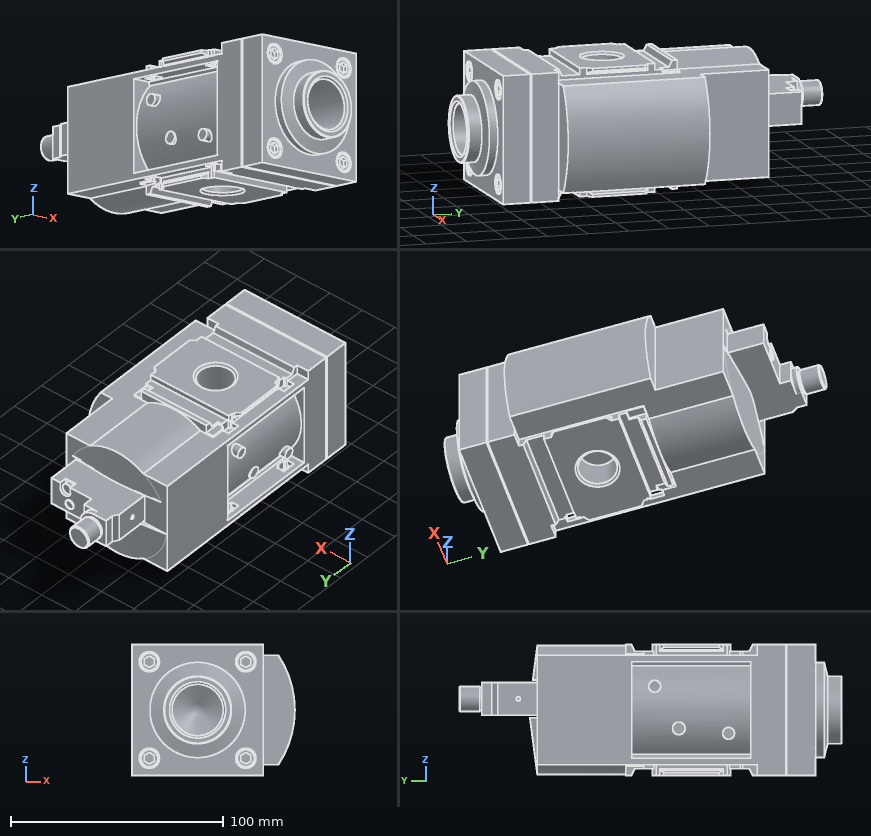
import cadquery as cq
import math


overall_length = 180.5
overall_width = 77.0
body_side = 62.0
half_side = body_side / 2
groove_y = 13.5
groove_width = 0.5
groove_depth = 0.27
block_end_y = 27.5
mid_end_y = 97.5
body_end_y = 131.3
shoulder_z = 25.8
barrel_radius = 30.5

cover_edge_x = 38.1
cover_reach_x = overall_width - half_side

pad_half_x = 24.2
pad_end_y = 89.4
floor_z = 27.8
front_slope = (29.6, 31.2)
rear_slope = (85.2, 86.8)
corner_start_y = 80.9
corner_inner_x = 20.0
corner_floor_z = 26.5

port_y = 58.5
plate_length = 37.2
tab_half_x = 26.7
tab_length = 26.0
tab_root_length = 30.0
tab_edge_z = 29.6
tab_root_z = 28.3
recess_floor_z = 27.5
recess_depth = 0.9
port_diameter = 18.6
port_rim_diameter = 21.0
port_depth = 16.2

window_y = (30.5, 86.7)
window_half_z = 22.7
drum_half_z = 21.0
drum_radius = 29.2
drum_back_x = -math.sqrt(drum_radius**2 - drum_half_z**2)
window_wall_x = drum_back_x - 0.9
long_pin_end_x = -30.3
pins = [
    (75.8, 11.2, 5.6, long_pin_end_x),
    (64.5, -8.7, 6.0, -28.7),
    (41.0, -11.0, 5.6, long_pin_end_x),
]

latch_centres_y = (38.0, 78.7)
latch_length = 7.2
latch_x = (-27.8, -23.7)
latch_key_length = 4.9
latch_key_x = -22.5

collar_diameter = 45.0
collar_length = 4.2
collar_tip = 5.8
nozzle_diameter = 32.0
nozzle_length = 12.5
nozzle_chamfer = 0.4
bore_diameter = 24.2
bore_rim_diameter = 26.5
bore_depth = 32.5
drill_half_angle = math.radians(60)

screw_offset = 22.7
counterbore_diameter = 9.5
screw_head_diameter = 8.5
screw_top_diameter = 8.0
screw_recess = 3.6
screw_head_sink = 0.4
hex_corner_diameter = 5.5
hex_depth = 2.2

cone_height = 4.0
cone_gap = 1.0

housing_x = (-17.0, 25.1)
housing_z = (-2.5, 13.0)
housing_mid_z = sum(housing_z) / 2
housing_low_y = 149.3
tower_x = (-15.2, 0.5)
tower_shoulder_y = (149.9, 152.7)
tower_end_y = 154.7
cap_end_y = 157.5
plug_x = sum(tower_x) / 2
plug_neck_diameter = 11.0
plug_diameter = 12.0
plug_neck_end_y = 158.3
plug_end_y = overall_length - nozzle_length
plug_chamfer = 0.5
indicator_y = 140.1
indicator_diameter = 2.0
indicator_depth = 0.7

slot_x = 16.6
slot_z = 9.7
slot_width = 6.1
slot_depth = 4.0
adjuster_diameter = 5.6
adjuster_height = 2.5
button_x = 13.7
button_z = 2.9
button_diameter = 4.9
button_height = 0.5


def box(x, y, z):
    """Box between the given (low, high) limits on each axis."""
    size = (x[1] - x[0], y[1] - y[0], z[1] - z[0])
    return cq.Workplane("XY").box(*size, centered=False).translate((x[0], y[0], z[0]))


def rod_y(x, z, diameter, y_start, y_end):
    """Round rod along Y."""
    plane = cq.Workplane("XZ", origin=(x, y_start, z))
    return plane.circle(diameter / 2).extrude(y_start - y_end)


def rod_x(y, z, diameter, x_start, x_end):
    """Round rod along X."""
    plane = cq.Workplane("YZ", origin=(x_start, y, z))
    return plane.circle(diameter / 2).extrude(x_end - x_start)


def turned_y(profile):
    """Solid turned about the Y axis from (radius, y) points."""
    return cq.Workplane("XY").polyline(profile).close().revolve(360, (0, 0), (0, 1))


def both_pads(solid):
    """The given feature of the top pad, with its mirror image on the bottom pad."""
    return solid.union(solid.mirror("XY"))


def make_body():
    square = (-half_side, half_side)
    shoulder = (-shoulder_z, shoulder_z)
    front = box(square, (0, block_end_y), square)
    rear = box(square, (block_end_y, body_end_y), shoulder)
    cover = (
        cq.Workplane("XZ", origin=(0, block_end_y, 0))
        .moveTo(0, -shoulder_z)
        .lineTo(cover_edge_x, -shoulder_z)
        .threePointArc((cover_reach_x, 0), (cover_edge_x, shoulder_z))
        .lineTo(0, shoulder_z)
        .close()
        .extrude(block_end_y - mid_end_y)
    )
    barrel = rod_y(0, 0, 2 * barrel_radius, block_end_y, body_end_y)
    barrel = barrel.intersect(box(square, (pad_end_y, body_end_y), square))
    groove_core = half_side - groove_depth
    groove_span = (groove_y, groove_y + groove_width)
    groove = box(square, groove_span, square).cut(
        box((-groove_core, groove_core), groove_span, (-groove_core, groove_core))
    )
    return front.union(rear).union(cover).union(barrel).cut(groove)


def make_pad():
    profile = [
        (block_end_y, 0),
        (block_end_y, half_side),
        (front_slope[0], half_side),
        (front_slope[1], floor_z),
        (rear_slope[0], floor_z),
        (rear_slope[1], half_side),
        (pad_end_y, half_side),
        (pad_end_y, 0),
    ]
    pad = cq.Workplane("YZ").polyline(profile).close().extrude(pad_half_x, both=True)
    for low_x in (-pad_half_x, corner_inner_x):
        corner_x = (low_x, low_x + pad_half_x - corner_inner_x)
        pad = pad.cut(box(corner_x, (corner_start_y, pad_end_y), (corner_floor_z, half_side)))
    return pad


def make_port_plate():
    plate_y = (port_y - plate_length / 2, port_y + plate_length / 2)
    plate = box((-pad_half_x, pad_half_x), plate_y, (0, half_side))

    half_root = tab_root_length / 2
    half_tab = tab_length / 2
    recess_y = (port_y - half_root, port_y + half_root)
    recess_inner_x = pad_half_x - recess_depth
    for side in (-1, 1):
        recess_x = sorted((side * recess_inner_x, side * pad_half_x))
        plate = plate.cut(box(recess_x, recess_y, (recess_floor_z, tab_root_z)))

    outline = [
        (-pad_half_x, port_y - half_root),
        (-tab_half_x, port_y - half_tab),
        (-tab_half_x, port_y + half_tab),
        (-pad_half_x, port_y + half_root),
        (pad_half_x, port_y + half_root),
        (tab_half_x, port_y + half_tab),
        (tab_half_x, port_y - half_tab),
        (pad_half_x, port_y - half_root),
    ]
    tabs = cq.Workplane("XY").polyline(outline).close().extrude(half_side)
    bevel = [
        (-pad_half_x, tab_root_z),
        (-tab_half_x, tab_edge_z),
        (-tab_half_x, half_side),
        (tab_half_x, half_side),
        (tab_half_x, tab_edge_z),
        (pad_half_x, tab_root_z),
    ]
    section = cq.Workplane("XZ").polyline(bevel).close().extrude(-mid_end_y)
    return plate.union(tabs.intersect(section))


def make_port_hole():
    rim_depth = (port_rim_diameter - port_diameter) / 2
    hole = (
        cq.Workplane("XY", origin=(0, port_y, half_side))
        .circle(port_diameter / 2)
        .extrude(-port_depth)
    )
    rim = cq.Solid.makeCone(
        port_rim_diameter / 2,
        port_diameter / 2,
        rim_depth,
        cq.Vector(0, port_y, half_side),
        cq.Vector(0, 0, -1),
    )
    return hole.union(cq.Workplane(rim))


def make_window():
    outline = [
        (-half_side, -window_half_z),
        (window_wall_x, -window_half_z),
        (drum_back_x, -drum_half_z),
        (drum_back_x, drum_half_z),
        (window_wall_x, window_half_z),
        (-half_side, window_half_z),
    ]
    length = window_y[1] - window_y[0]
    plane = cq.Workplane("XZ", origin=(0, window_y[0], 0))
    window = plane.polyline(outline).close().extrude(-length)
    window = window.cut(rod_y(0, 0, 2 * drum_radius, *window_y))
    for y, z, diameter, end_x in pins:
        window = window.cut(rod_x(y, z, diameter, end_x, drum_back_x))
    return window


def make_latch_opening(y):
    main = box(latch_x, (y - latch_length / 2, y + latch_length / 2), (window_half_z, half_side))
    key_y = (y - latch_key_length / 2, y + latch_key_length / 2)
    key = box((latch_x[1], latch_key_x), key_y, (window_half_z, floor_z))
    return main.union(key)


def make_nozzle():
    outer = nozzle_diameter / 2
    return turned_y([
        (0, 0),
        (collar_diameter / 2, 0),
        (collar_diameter / 2, -collar_length),
        (outer, -collar_tip),
        (outer, nozzle_chamfer - nozzle_length),
        (outer - nozzle_chamfer, -nozzle_length),
        (0, -nozzle_length),
    ])


def make_bore():
    radius = bore_diameter / 2
    rim_radius = bore_rim_diameter / 2
    floor_y = bore_depth - nozzle_length
    return turned_y([
        (0, -nozzle_length),
        (rim_radius, -nozzle_length),
        (radius, rim_radius - radius - nozzle_length),
        (radius, floor_y),
        (0, floor_y + radius / math.tan(drill_half_angle)),
    ])


def make_screw_recess():
    """Counterbore around a socket-head screw, at the origin."""
    head_radius = screw_head_diameter / 2
    top_radius = screw_top_diameter / 2
    head = turned_y([
        (0, screw_recess),
        (head_radius, screw_recess),
        (head_radius, screw_head_sink + head_radius - top_radius),
        (top_radius, screw_head_sink),
        (0, screw_head_sink),
    ])
    socket = (
        cq.Workplane("XZ", origin=(0, screw_head_sink, 0))
        .transformed(rotate=(0, 0, 90))
        .polygon(6, hex_corner_diameter)
        .extrude(-hex_depth)
    )
    return rod_y(0, 0, counterbore_diameter, 0, screw_recess).cut(head).union(socket)


def make_rear_cone():
    cone = turned_y([
        (0, body_end_y),
        (barrel_radius, body_end_y),
        (0, body_end_y + cone_height),
    ])
    gap = box(
        (-half_side, half_side),
        (body_end_y, body_end_y + cone_height),
        (housing_z[0] - cone_gap, housing_z[1] + cone_gap),
    )
    return cone.cut(gap)


def make_housing():
    outline = [
        (housing_x[0], body_end_y),
        (housing_x[0], tower_shoulder_y[0]),
        (tower_x[0], tower_shoulder_y[1]),
        (tower_x[0], tower_end_y),
        (tower_x[1], tower_end_y),
        (tower_x[1], housing_low_y),
        (housing_x[1], housing_low_y),
        (housing_x[1], body_end_y),
    ]
    height = housing_z[1] - housing_z[0]
    plane = cq.Workplane("XY", origin=(0, 0, housing_z[0]))
    housing = plane.polyline(outline).close().extrude(height)

    cap_y = (tower_end_y, cap_end_y)
    housing = housing.union(box((tower_x[0], plug_x), cap_y, housing_z))
    housing = housing.union(rod_y(plug_x, housing_mid_z, height, *cap_y))

    neck = rod_y(plug_x, housing_mid_z, plug_neck_diameter, cap_end_y, plug_neck_end_y)
    plug = rod_y(plug_x, housing_mid_z, plug_diameter, plug_neck_end_y, plug_end_y)
    housing = housing.union(neck).union(plug.faces(">Y").chamfer(plug_chamfer))

    indicator_end_x = housing_x[0] + indicator_depth
    indicator = rod_x(indicator_y, housing_mid_z, indicator_diameter, housing_x[0], indicator_end_x)

    slot_y = (housing_low_y - slot_depth, housing_low_y)
    slot = rod_y(slot_x, slot_z, slot_width, *slot_y).union(
        box((slot_x - slot_width / 2, slot_x + slot_width / 2), slot_y, (slot_z, housing_z[1]))
    )
    adjuster = rod_y(slot_x, slot_z, adjuster_diameter, slot_y[0], slot_y[0] + adjuster_height)
    button_end_y = housing_low_y + button_height
    button = rod_y(button_x, button_z, button_diameter, housing_low_y, button_end_y)
    return housing.cut(indicator).cut(slot).union(adjuster).union(button)


result = make_body()
result = result.union(both_pads(make_pad())).union(both_pads(make_port_plate()))
result = result.cut(both_pads(make_port_hole())).cut(make_window())
for latch_y in latch_centres_y:
    result = result.cut(both_pads(make_latch_opening(latch_y)))

result = result.union(make_nozzle()).cut(make_bore())
for screw_x in (-screw_offset, screw_offset):
    for screw_z in (-screw_offset, screw_offset):
        result = result.cut(make_screw_recess().translate((screw_x, 0, screw_z)))

result = result.union(make_rear_cone()).union(make_housing())